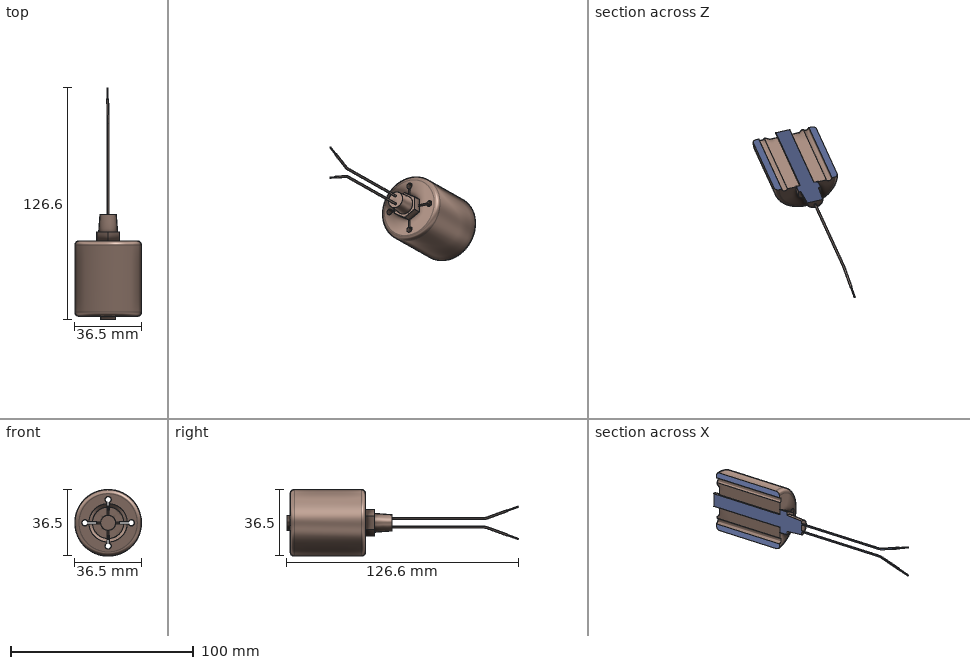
import cadquery as cq
import math

float_diameter = 36.5
float_length = 41.25
float_edge_radius = 2.3
recess_mouth_diameter = 21.0
recess_floor_diameter = 17.2
recess_depth = 1.6

vent_count = 4
vent_hole_diameter = 3.2
vent_circle_radius = 12.7
vent_slot_width = 1.1

rod_diameter = 8.2
rod_protrusion = 1.75
hex_sides = 6
hex_across_flats = 12.7
hex_length = 5.0
taper_base_diameter = 10.4
taper_tip_diameter = 9.0
taper_length = 9.5

wire_spacing = 4.6
insulation_diameter = 1.1
bare_wire_diameter = 0.65
straight_wire_length = 49.6
splay_angle = 20.0
splay_plane_tilt = 3.5
wire_bend_radius = 8.0
splayed_insulation_length = 11.4
overall_length = 126.6

float_front = rod_protrusion
float_back = float_front + float_length
hex_back = float_back + hex_length
taper_back = hex_back + taper_length
wire_bend_start = taper_back + straight_wire_length


def cylinder_along_y(diameter, start, end):
    """Cylinder on the Y axis between two stations."""
    axis_plane = cq.Workplane("XZ", origin=(0, start, 0))
    return axis_plane.circle(diameter / 2).extrude(start - end)


def make_vent(index):
    """Round through hole above the axis with its slot, turned to its place around Y."""
    hole = cylinder_along_y(vent_hole_diameter, float_front, float_back)
    hole = hole.translate((0, 0, vent_circle_radius))
    slot = cq.Workplane("XY").box(
        vent_slot_width, float_length, vent_circle_radius, centered=(True, False, False)
    )
    slot = slot.translate((0, float_front, 0))
    return hole.union(slot).rotate((0, 0, 0), (0, 1, 0), index * 360 / vent_count)


def make_float():
    """Rounded float with a conical front recess, a bore for the rod and four vents."""
    body = cylinder_along_y(float_diameter, float_front, float_back)
    body = body.edges().fillet(float_edge_radius)

    recess = (
        cq.Workplane("XZ", origin=(0, float_front, 0))
        .circle(recess_mouth_diameter / 2)
        .workplane(offset=-recess_depth)
        .circle(recess_floor_diameter / 2)
        .loft()
    )
    body = body.cut(recess)
    body = body.cut(cylinder_along_y(rod_diameter, float_front, float_back))
    for index in range(vent_count):
        body = body.cut(make_vent(index))
    return body


def make_wire():
    """Upper lead wire: straight run, bend away from the axis, splayed run and bare end."""
    angle = math.radians(splay_angle)
    along = math.cos(angle)
    across = math.sin(angle)
    height = wire_spacing / 2

    bend_end_y = wire_bend_start + wire_bend_radius * across
    bend_end_z = height + wire_bend_radius * (1 - along)
    mid_bend_y = wire_bend_start + wire_bend_radius * math.sin(angle / 2)
    mid_bend_z = height + wire_bend_radius * (1 - math.cos(angle / 2))
    insulation_end_y = bend_end_y + splayed_insulation_length * along
    insulation_end_z = bend_end_z + splayed_insulation_length * across

    path = (
        cq.Workplane("YZ")
        .moveTo(taper_back, height)
        .lineTo(wire_bend_start, height)
        .threePointArc((mid_bend_y, mid_bend_z), (bend_end_y, bend_end_z))
        .lineTo(insulation_end_y, insulation_end_z)
    )
    insulation = (
        cq.Workplane("XZ", origin=(0, taper_back, height))
        .circle(insulation_diameter / 2)
        .sweep(path)
    )

    bare_reach = overall_length - insulation_end_y - bare_wire_diameter / 2 * across
    bare_end = cq.Solid.makeCylinder(
        bare_wire_diameter / 2,
        bare_reach / along,
        cq.Vector(0, insulation_end_y, insulation_end_z),
        cq.Vector(0, along, across),
    )
    wire = insulation.union(cq.Workplane(obj=bare_end))

    return wire.rotate((0, 0, height), (0, 1, height), -splay_plane_tilt)


def make_stem():
    """Rod, hexagon, tapered end and both lead wires as one solid."""
    rod = cylinder_along_y(rod_diameter, 0, float_back)
    hexagon = (
        cq.Workplane("XZ", origin=(0, float_back, 0))
        .polygon(hex_sides, hex_across_flats, circumscribed=True)
        .extrude(-hex_length)
    )
    tapered_end = (
        cq.Workplane("XZ", origin=(0, hex_back, 0))
        .circle(taper_base_diameter / 2)
        .workplane(offset=-taper_length)
        .circle(taper_tip_diameter / 2)
        .loft()
    )
    upper_wire = make_wire()
    lower_wire = upper_wire.mirror("XY")
    return rod.union(hexagon).union(tapered_end).union(upper_wire).union(lower_wire)


float_body = make_float()
stem = make_stem()
result = cq.Compound.makeCompound([float_body.val(), stem.val()])